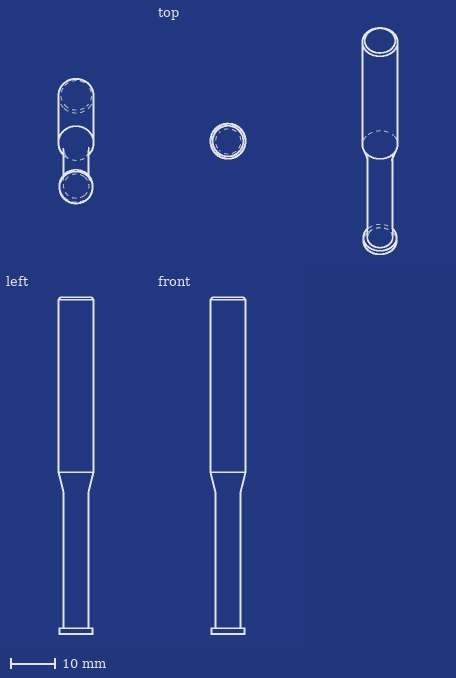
import cadquery as cq

TOTAL_LENGTH = 76.0
SHANK_DIAMETER = 8.0
SHANK_BOTTOM = 36.55
TOP_CHAMFER = 0.5
NECK_DIAMETER = 5.7
TAPER_LENGTH = 4.55
HEAD_DIAMETER = 7.5
HEAD_HEIGHT = 1.4

SHANK_RADIUS = SHANK_DIAMETER / 2
NECK_RADIUS = NECK_DIAMETER / 2
TAPER_BOTTOM = SHANK_BOTTOM - TAPER_LENGTH


def make_shank():
    """Plain cylinder with a chamfered top rim."""
    shank = cq.Workplane("XY", origin=(0, 0, SHANK_BOTTOM))
    shank = shank.circle(SHANK_RADIUS).extrude(TOTAL_LENGTH - SHANK_BOTTOM)
    return shank.faces(">Z").edges().chamfer(TOP_CHAMFER)


def make_neck():
    """Slim cylinder that widens in a cone to meet the shank."""
    half_profile = (
        cq.Workplane("XZ")
        .moveTo(0, HEAD_HEIGHT)
        .lineTo(NECK_RADIUS, HEAD_HEIGHT)
        .lineTo(NECK_RADIUS, TAPER_BOTTOM)
        .lineTo(SHANK_RADIUS, SHANK_BOTTOM)
        .lineTo(0, SHANK_BOTTOM)
        .close()
    )
    return half_profile.revolve(360, (0, 0), (0, 1))


def make_head():
    """Thin disc under the neck."""
    return cq.Workplane("XY").circle(HEAD_DIAMETER / 2).extrude(HEAD_HEIGHT)


shank = make_shank()
neck = make_neck()
head = make_head()

result = cq.Compound.makeCompound([shank.val(), neck.val(), head.val()])